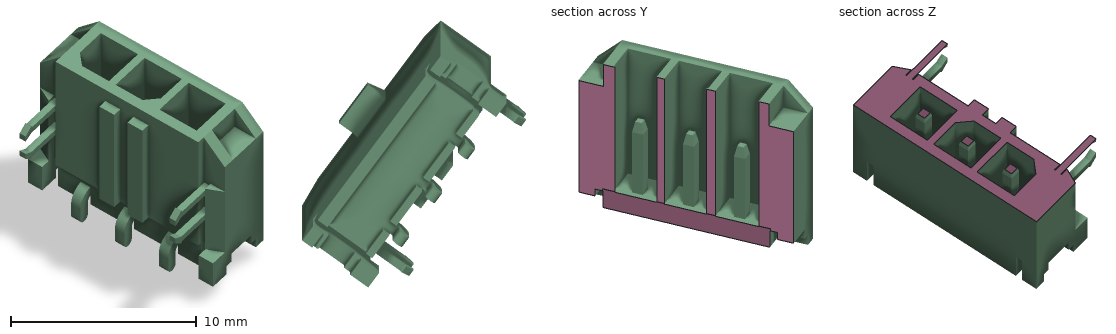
import cadquery as cq
import math


length = 12.65
height = 9.85
rear_y = 1.95
front_y = -1.88
shroud_length = 9.77
shroud_bottom = 1.82

pin_count = 3
pin_pitch = 3.0
pin_width = 0.65
cell_width = 2.54
cell_rear_y = 1.29
cell_front_y = -1.25
cell_chamfer = 0.71

wing_front_y = -1.42
wing_shoulder_z = 8.45
wing_pocket_rear_y = 1.29
wing_pocket_front_y = -0.71
foot_inner_x = 5.35
foot_front_y = -2.45
gusset_top = 6.54
gap_height = 1.7
window_rear_y = 0.9
window_front_y = -0.83
window_top = 1.25

rib_inner_x = 0.45
rib_width = 1.01
rib_front_y = -2.42
rib_top = 9.0

latch_width = 2.58
latch_tip_y = 3.16
latch_top = 9.26
latch_bottom = 7.34
latch_shoulder = 8.11
latch_fillet = 0.45

prong_thickness = 0.4
prong_middle_x = 5.12
prong_middle_z = 5.24
prong_inner = 0.75
prong_outer = 1.14
prong_neck_y = -3.85
prong_barb_y = -3.96
prong_tip_y = -4.45
prong_barb = 1.26
prong_tip_outer = 0.87
prong_tip_inner = 0.48

base_length = 9.84
base_front_y = -1.67
base_slot_width = 0.66
channel_height = 0.63

pin_top = 6.32
pin_taper_height = 0.63
pin_tip_width = 0.38
tail_bottom = -0.89
tail_front_y = -2.52
tail_bend_radius = 1.0
tail_bend_z = 0.34

pin_places = [(i - (pin_count - 1) / 2) * pin_pitch for i in range(pin_count)]


def block(x_range, y_range, z_range):
    """Box between two limits along each axis."""
    limits = (x_range, y_range, z_range)
    size = [abs(end - start) for start, end in limits]
    low = [min(pair) for pair in limits]
    return cq.Workplane("XY").box(*size, centered=False).translate(tuple(low))


def side_profile(points, x_start, thickness):
    """Prism of an outline of (y, z) points that runs along +X from x_start."""
    return cq.Workplane("YZ").workplane(offset=x_start).polyline(points).close().extrude(thickness)


def both_ends(right_end):
    """A right-hand feature together with its mirror image at the left end."""
    return right_end.union(right_end.mirror("YZ"))


def make_shroud():
    half = shroud_length / 2
    return block((-half, half), (front_y, rear_y), (shroud_bottom, height))


def make_wing():
    inner_x = shroud_length / 2
    outer_x = length / 2
    outline = [(inner_x, 0), (outer_x, 0), (outer_x, wing_shoulder_z), (inner_x, height)]
    wing = (
        cq.Workplane("XZ").workplane(offset=-rear_y)
        .polyline(outline).close().extrude(rear_y - wing_front_y)
    )
    gusset = (
        cq.Workplane("XY")
        .polyline([(foot_inner_x, wing_front_y), (outer_x, wing_front_y), (foot_inner_x, front_y)])
        .close().extrude(gusset_top)
    )
    foot = block((foot_inner_x, outer_x), (wing_front_y, foot_front_y), (0, shroud_bottom))
    pocket = block(
        (inner_x, outer_x), (wing_pocket_front_y, wing_pocket_rear_y), (wing_shoulder_z, height)
    )
    gap = block((inner_x, foot_inner_x), (wing_front_y, rear_y), (0, gap_height))
    window = block((foot_inner_x, outer_x), (window_front_y, window_rear_y), (0, window_top))
    return wing.union(gusset).union(foot).cut(pocket).cut(gap).cut(window)


def make_prongs():
    """Upper and lower prong of one board lock, mirror images about their middle height."""
    outline = [
        (wing_front_y, prong_inner),
        (wing_front_y, prong_outer),
        (prong_neck_y, prong_outer),
        (prong_barb_y, prong_barb),
        (prong_tip_y, prong_tip_outer),
        (prong_tip_y, prong_tip_inner),
        (prong_barb_y, prong_inner),
    ]
    upper = side_profile(outline, prong_middle_x - prong_thickness / 2, prong_thickness)
    lower = upper.mirror("XY")
    return upper.union(lower).translate((0, 0, prong_middle_z))


def make_ribs():
    rib = block((rib_inner_x, rib_inner_x + rib_width), (rib_front_y, front_y), (shroud_bottom, rib_top))
    return both_ends(rib)


def make_latch():
    fillet_start_y = rear_y + latch_fillet
    fillet_middle = latch_fillet * (1 - math.sqrt(0.5))
    return (
        cq.Workplane("YZ").workplane(offset=-latch_width / 2)
        .moveTo(rear_y, latch_top)
        .lineTo(latch_tip_y, latch_shoulder)
        .lineTo(latch_tip_y, latch_bottom)
        .lineTo(fillet_start_y, latch_bottom)
        .threePointArc(
            (rear_y + fillet_middle, latch_bottom - fillet_middle),
            (rear_y, latch_bottom - latch_fillet),
        )
        .close().extrude(latch_width)
    )


def make_cell(x, chamfered_corner=None):
    """Cell around one pin; one front corner edge can be bevelled as a key."""
    half = cell_width / 2
    cell = block((x - half, x + half), (cell_front_y, cell_rear_y), (shroud_bottom, height))
    if chamfered_corner:
        cell = cell.faces("<Y").edges(chamfered_corner).chamfer(cell_chamfer)
    return cell


def make_channel():
    """Channel under the connector, open at both ends."""
    half = length / 2
    return block((-half, half), (cell_front_y, cell_rear_y), (0, channel_height))


def make_base_block():
    """Block that closes the shroud from below, with a slightly shorter lip along its front."""
    half = base_length / 2
    lip_half = shroud_length / 2
    body = block((-half, half), (cell_front_y, rear_y), (0, shroud_bottom))
    lip = block((-lip_half, lip_half), (base_front_y, cell_front_y), (0, shroud_bottom))
    return body.union(lip)


def make_housing():
    housing = make_shroud().union(both_ends(make_wing()))
    housing = housing.union(both_ends(make_prongs())).union(make_ribs()).union(make_latch())
    key_corners = ["<X", ">X", None]
    for x, corner in zip(pin_places, key_corners):
        housing = housing.cut(make_cell(x, corner))
    return housing.cut(make_channel()).cut(make_base_block())


def make_pin(x):
    """Square post with a tapered tip, and a tail bent down in front of the base."""
    half = pin_width / 2
    shoulder = pin_top - pin_taper_height
    post = block((x - half, x + half), (-half, half), (shroud_bottom, shoulder))
    tip = (
        cq.Workplane("XY").workplane(offset=shoulder).center(x, 0).rect(pin_width, pin_width)
        .workplane(offset=pin_taper_height).rect(pin_tip_width, pin_tip_width)
        .loft(ruled=True)
    )
    return post.union(tip).union(make_tail(x))


def make_tail(x):
    bend_y = tail_front_y + tail_bend_radius
    inner_radius = tail_bend_radius - pin_width
    end_radius = pin_width / 2
    end_z = tail_bottom + end_radius
    inner_y = tail_front_y + pin_width
    diagonal = math.sqrt(0.5)
    return (
        cq.Workplane("YZ").workplane(offset=x - pin_width / 2)
        .moveTo(bend_y, tail_bend_z + tail_bend_radius)
        .threePointArc(
            (bend_y - tail_bend_radius * diagonal, tail_bend_z + tail_bend_radius * diagonal),
            (tail_front_y, tail_bend_z),
        )
        .lineTo(tail_front_y, end_z)
        .threePointArc((tail_front_y + end_radius, tail_bottom), (inner_y, end_z))
        .lineTo(inner_y, tail_bend_z)
        .threePointArc(
            (bend_y - inner_radius * diagonal, tail_bend_z + inner_radius * diagonal),
            (bend_y, tail_bend_z + inner_radius),
        )
        .close().extrude(pin_width)
    )


def make_tail_slot(x):
    """Slot through the front lip of the base, from its lower edge up to the level of the channel."""
    half = base_slot_width / 2
    return block((x - half, x + half), (base_front_y, cell_front_y), (0, channel_height))


def make_pin_base():
    pin_base = make_base_block().cut(make_channel())
    for x in pin_places:
        pin_base = pin_base.cut(make_tail_slot(x)).union(make_pin(x))
    return pin_base


housing = make_housing()
pin_base = make_pin_base()

result = cq.Compound.makeCompound([housing.val(), pin_base.val()])